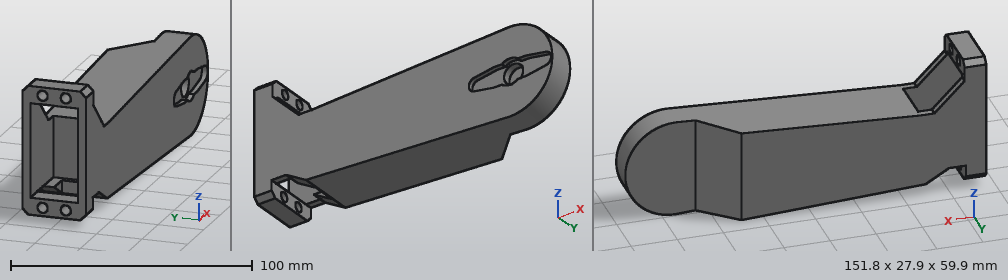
import cadquery as cq

total_length = 151.83
width = 27.94
tip_radius = 21.59
pivot_x = total_length - tip_radius

flange_height = 56.2
flange_top = 38.28
flange_bottom = flange_top - flange_height
flange_mid_z = (flange_top + flange_bottom) / 2
flange_depth_top = 9.4
flange_depth_bottom = 8.89
flange_chamfer = 2.54
screw_diameter = 4.4
screw_pitch_y = 10.16
screw_pitch_z = 48.9

pocket_length = 28.45
pocket_width = 20.83
pocket_height = 41.2
pocket_floor = flange_mid_z - pocket_height / 2
floor_slot_end = 25.7
floor_slot_width = 11.43

shoulder_top_z = 29.5
neck_half_height = 16.35
neck_top_x = flange_depth_top + shoulder_top_z - neck_half_height
notch_end_x = 16.2
neck_bottom_x = 26.4

tip_thickness = 12.7
tip_step = width - tip_thickness
tip_start_x = 121.4

recess_depth = 2.54
horn_reach = 20.95
horn_end_x = 17.9
horn_end_half_width = 3.3
horn_shoulder_x = 8.2
horn_half_width = 4.9
hub_diameter = 12.7
shaft_diameter = 9.65
shaft_depth = 6.35


def xz_sketch(y):
    """XZ sketch plane at depth y; extrusions from it run toward -Y."""
    return cq.Workplane("XZ", origin=(0, y, 0))


def make_arm():
    """Tapered body from the flange face to the round tip, with a notch under the pocket."""
    outline = (
        xz_sketch(width)
        .moveTo(0, pocket_floor)
        .lineTo(notch_end_x, pocket_floor)
        .lineTo(neck_bottom_x, -neck_half_height)
        .lineTo(pivot_x, -tip_radius)
        .threePointArc((total_length, 0), (pivot_x, tip_radius))
        .lineTo(pocket_length, neck_half_height)
        .lineTo(neck_top_x, neck_half_height)
        .lineTo(flange_depth_top, shoulder_top_z)
        .lineTo(0, shoulder_top_z)
        .close()
    )
    return outline.extrude(width)


def make_flange():
    """Mounting flange, slightly deeper above the pocket floor than below it."""
    profile = (
        xz_sketch(width)
        .moveTo(0, flange_bottom)
        .lineTo(flange_depth_bottom, flange_bottom)
        .lineTo(flange_depth_bottom, pocket_floor)
        .lineTo(flange_depth_top, pocket_floor)
        .lineTo(flange_depth_top, flange_top)
        .lineTo(0, flange_top)
        .close()
    )
    flange = profile.extrude(width)
    corners = flange.faces(">Z or <Z").edges("|X")
    return flange.newObject(corners.vals()).chamfer(flange_chamfer)


def make_tip_relief():
    """Everything behind the thinned tip, with a 45 degree ramp."""
    return (
        cq.Workplane("XY", origin=(0, 0, -tip_radius))
        .moveTo(tip_start_x, tip_thickness)
        .lineTo(tip_start_x - tip_step, width)
        .lineTo(total_length, width)
        .lineTo(total_length, tip_thickness)
        .close()
        .extrude(2 * tip_radius)
    )


def make_pocket():
    """Servo pocket plus the slot that cuts down through its floor."""
    middle_y = width / 2
    pocket = (
        cq.Workplane("XY", origin=(pocket_length / 2, middle_y, pocket_floor))
        .rect(pocket_length, pocket_width)
        .extrude(pocket_height)
    )
    floor_slot_length = floor_slot_end - flange_depth_top
    floor_slot_middle_x = (floor_slot_end + flange_depth_top) / 2
    floor_slot = (
        cq.Workplane("XY", origin=(floor_slot_middle_x, middle_y, pocket_floor))
        .rect(floor_slot_length, floor_slot_width)
        .extrude(-tip_radius)
    )
    return pocket.union(floor_slot)


def make_screw_holes():
    return (
        cq.Workplane("YZ", origin=(0, width / 2, flange_mid_z))
        .rarray(screw_pitch_y, screw_pitch_z, 2, 2)
        .circle(screw_diameter / 2)
        .extrude(flange_depth_top)
    )


def pivot_bore(diameter, depth):
    """Round cutter on the pivot axis, sunk from the -Y face."""
    return xz_sketch(depth).center(pivot_x, 0).circle(diameter / 2).extrude(depth)


def make_horn_recess():
    horn = (
        xz_sketch(recess_depth)
        .center(pivot_x, 0)
        .moveTo(-horn_shoulder_x, horn_half_width)
        .lineTo(horn_shoulder_x, horn_half_width)
        .lineTo(horn_end_x, horn_end_half_width)
        .threePointArc((horn_reach, 0), (horn_end_x, -horn_end_half_width))
        .lineTo(horn_shoulder_x, -horn_half_width)
        .lineTo(-horn_shoulder_x, -horn_half_width)
        .lineTo(-horn_end_x, -horn_end_half_width)
        .threePointArc((-horn_reach, 0), (-horn_end_x, horn_end_half_width))
        .close()
        .extrude(recess_depth)
    )
    hub = pivot_bore(hub_diameter, recess_depth)
    shaft = pivot_bore(shaft_diameter, shaft_depth)
    return horn.union(hub).union(shaft)


result = (
    make_arm()
    .union(make_flange())
    .cut(make_tip_relief())
    .cut(make_pocket())
    .cut(make_screw_holes())
    .cut(make_horn_recess())
)